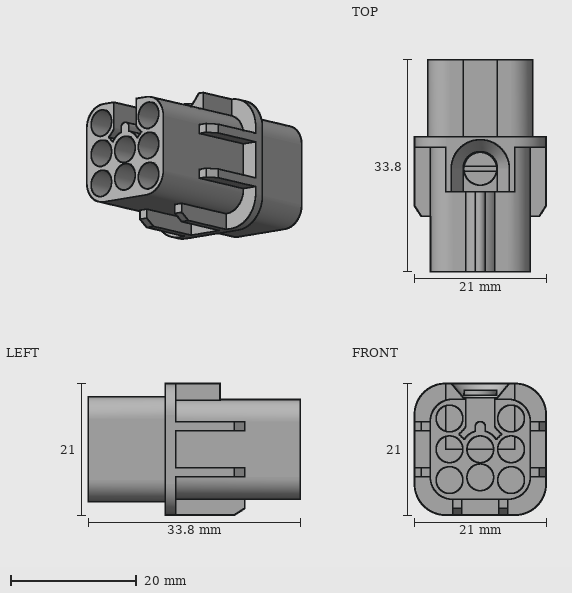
import cadquery as cq
import math

LENGTH = 33.8

FLANGE_SIZE = 21.0
FLANGE_CORNER = 5.0
FLANGE_THICKNESS = 1.7

FRONT_SIZE = 15.92
REAR_SIZE = 16.75
SHROUD_CORNER = 3.5
REAR_LENGTH = 12.27

HOLE_DIAMETER = 4.25
HOLE_PITCH = 4.9
LOW_CENTRE_HOLE_Z = -4.45

CHANNEL_WIDTH = 4.6
FLARE_TIP_X = 3.38
FLARE_TIP_Z = 2.4
FLARE_BLEND = 1.0
HUB_RADIUS = 2.97
KEY_WIDTH = 1.62
KEY_TOP = 4.4

BLOCK_WIDTH = FLANGE_SIZE - 2 * FLANGE_CORNER
BLOCK_LENGTH = 8.75
FUNNEL_TOP_RADIUS = 4.63
FUNNEL_FLOOR_RADIUS = 2.75
FUNNEL_DEPTH = 2.25
FUNNEL_SETBACK = 3.65

REAR_CHANNEL_WIDTH = 2 * FUNNEL_FLOOR_RADIUS
REAR_CHANNEL_DEPTH = 5.88

RIB_THICKNESS = 1.42
RIB_SPACING = 7.27
RIB_LENGTH = 11.0
RIB_CHAMFER_LENGTH = 1.7
RIB_CHAMFER_HEIGHT = 1.08

SCREW_DIAMETER = 5.25
SCREW_THICKNESS = 0.78
SCREW_TOP_DEPTH = 1.08
SLOT_WIDTH = 0.78
SLOT_DEPTH = 0.55

FRONT_Y = -LENGTH / 2
REAR_Y = LENGTH / 2
FLANGE_REAR_Y = REAR_Y - REAR_LENGTH
FLANGE_FRONT_Y = FLANGE_REAR_Y - FLANGE_THICKNESS
FRONT_LENGTH = FLANGE_FRONT_Y - FRONT_Y
BLOCK_FRONT_Y = FLANGE_REAR_Y - BLOCK_LENGTH
FUNNEL_Y = BLOCK_FRONT_Y + FUNNEL_SETBACK
TOP_Z = FLANGE_SIZE / 2


def section_at(y):
    """Workplane across the connector at y: local x is X, local y is Z, extrusion runs toward -Y."""
    return cq.Workplane("XZ", origin=(0, y, 0))


def rounded_bar(size, corner, rear_y, length):
    """Square bar with rounded long edges, reaching forward from rear_y."""
    return section_at(rear_y).rect(size, size).extrude(length).edges("|Y").fillet(corner)


def contact_holes():
    """Eight blind holes from the front end to the flange, with none at the top centre."""
    side_holes = [(x, z) for x in (-HOLE_PITCH, HOLE_PITCH) for z in (-HOLE_PITCH, 0, HOLE_PITCH)]
    centre_holes = [(0, 0), (0, LOW_CENTRE_HOLE_Z)]
    return (
        section_at(FLANGE_FRONT_Y)
        .pushPoints(side_holes + centre_holes)
        .circle(HOLE_DIAMETER / 2)
        .extrude(FRONT_LENGTH)
    )


def keyed_channel():
    """Open-topped channel that flares at 45 degrees around a round hub with an upright key."""
    wall_x = CHANNEL_WIDTH / 2
    flare_start_z = FLARE_TIP_Z + FLARE_TIP_X - wall_x
    blend_reach = FLARE_BLEND * math.tan(math.radians(22.5))
    diagonal_reach = blend_reach * math.cos(math.radians(45))
    half = (
        section_at(FLANGE_FRONT_Y)
        .moveTo(0, TOP_Z)
        .lineTo(wall_x, TOP_Z)
        .lineTo(wall_x, flare_start_z + blend_reach)
        .tangentArcPoint((wall_x + diagonal_reach, flare_start_z - diagonal_reach), relative=False)
        .lineTo(FLARE_TIP_X, FLARE_TIP_Z)
        .lineTo(FLARE_TIP_X - FLARE_TIP_Z, 0)
        .lineTo(0, 0)
        .close()
        .extrude(FRONT_LENGTH)
    )
    channel = half.union(half.mirror("YZ"))
    hub = section_at(FLANGE_FRONT_Y).circle(HUB_RADIUS).extrude(FRONT_LENGTH)

    key_radius = KEY_WIDTH / 2
    key_shoulder_z = KEY_TOP - key_radius
    key = (
        section_at(FLANGE_FRONT_Y)
        .moveTo(-key_radius, 0)
        .lineTo(key_radius, 0)
        .lineTo(key_radius, key_shoulder_z)
        .threePointArc((0, KEY_TOP), (-key_radius, key_shoulder_z))
        .close()
        .extrude(FRONT_LENGTH)
    )
    return channel.cut(hub).cut(key)


def front_shroud():
    shroud = rounded_bar(FRONT_SIZE, SHROUD_CORNER, FLANGE_FRONT_Y, FRONT_LENGTH)
    return shroud.cut(contact_holes()).cut(keyed_channel())


def rear_shroud():
    """Rear shroud with a plain open-topped channel along its whole length."""
    shroud = rounded_bar(REAR_SIZE, SHROUD_CORNER, REAR_Y, REAR_LENGTH)
    channel = (
        section_at(REAR_Y)
        .center(0, (REAR_SIZE - REAR_CHANNEL_DEPTH) / 2)
        .rect(REAR_CHANNEL_WIDTH, REAR_CHANNEL_DEPTH)
        .extrude(REAR_LENGTH)
    )
    return shroud.cut(channel)


def funnel():
    """Conical recess that continues with the same sloping walls out through the block front."""
    cone = cq.Workplane(
        cq.Solid.makeCone(
            FUNNEL_FLOOR_RADIUS,
            FUNNEL_TOP_RADIUS,
            FUNNEL_DEPTH,
            pnt=cq.Vector(0, FUNNEL_Y, TOP_Z - FUNNEL_DEPTH),
        )
    )
    outlet = (
        section_at(FUNNEL_Y)
        .moveTo(-FUNNEL_TOP_RADIUS, TOP_Z)
        .lineTo(FUNNEL_TOP_RADIUS, TOP_Z)
        .lineTo(FUNNEL_FLOOR_RADIUS, TOP_Z - FUNNEL_DEPTH)
        .lineTo(-FUNNEL_FLOOR_RADIUS, TOP_Z - FUNNEL_DEPTH)
        .close()
        .extrude(FUNNEL_SETBACK)
    )
    return cone.union(outlet)


def screw_block():
    """Block from the connector axis up to the flange top; it closes the holes and channel behind it."""
    return section_at(FLANGE_REAR_Y).center(0, TOP_Z / 2).rect(BLOCK_WIDTH, TOP_Z).extrude(BLOCK_LENGTH)


def guide_rib():
    """Rib on the underside at X = 0, with its front outer corner cut away."""
    root_z = -FRONT_SIZE / 2
    tip_y = FLANGE_FRONT_Y - RIB_LENGTH
    return (
        cq.Workplane("YZ")
        .moveTo(FLANGE_FRONT_Y, root_z)
        .lineTo(FLANGE_FRONT_Y, -TOP_Z)
        .lineTo(tip_y + RIB_CHAMFER_LENGTH, -TOP_Z)
        .lineTo(tip_y, -TOP_Z + RIB_CHAMFER_HEIGHT)
        .lineTo(tip_y, root_z)
        .close()
        .extrude(RIB_THICKNESS / 2, both=True)
    )


def make_housing():
    body = rounded_bar(FLANGE_SIZE, FLANGE_CORNER, FLANGE_REAR_Y, FLANGE_THICKNESS)
    body = body.union(front_shroud()).union(rear_shroud()).union(screw_block())
    for turn in (-90, 0, 90):
        for offset in (-RIB_SPACING / 2, RIB_SPACING / 2):
            rib = guide_rib().translate((offset, 0, 0)).rotate((0, 0, 0), (0, 1, 0), turn)
            body = body.union(rib)
    return body.cut(funnel())


def make_screw():
    """Slotted screw head set in the funnel, clear of its walls and floor."""
    head_top = cq.Workplane("XY", origin=(0, FUNNEL_Y, TOP_Z - SCREW_TOP_DEPTH))
    head = head_top.circle(SCREW_DIAMETER / 2).extrude(-SCREW_THICKNESS)
    slot = head_top.rect(SCREW_DIAMETER, SLOT_WIDTH).extrude(-SLOT_DEPTH)
    return head.cut(slot)


housing = make_housing()
screw = make_screw()

result = cq.Compound.makeCompound([housing.val(), screw.val()])